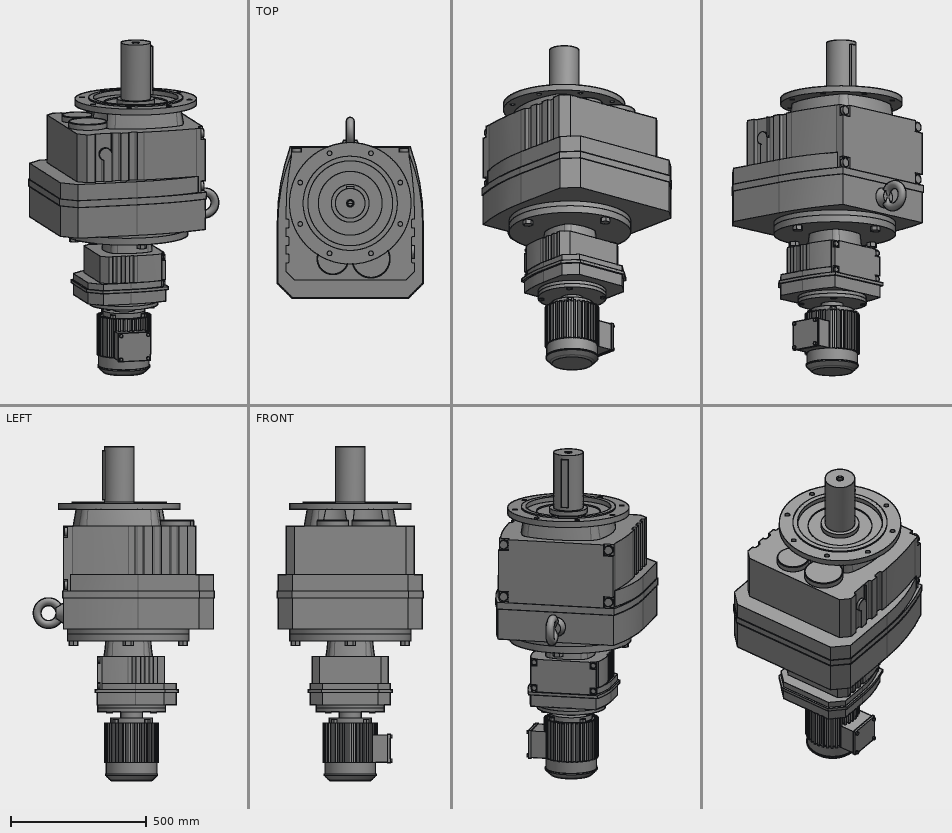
import cadquery as cq
import math

second_axis_y = -33.0
motor_axis_y = -46.0

cover_bottom_z = 0.0
fin_bottom_z = 69.0
fin_top_z = 215.0
motor_shield_top_z = 234.0
motor_flange_bottom_z = 256.0
motor_flange_top_z = 270.0
second_box_bottom_z = 282.0
second_rim_bottom_z = 327.0
second_rim_top_z = 338.0
second_box_top_z = 361.0
second_case_top_z = 461.0
second_flange_bottom_z = 517.0
second_flange_top_z = 543.0
main_box_bottom_z = 562.0
main_rim_bottom_z = 677.0
main_rim_top_z = 703.0
main_box_top_z = 763.0
main_case_top_z = 943.0
main_flange_bottom_z = 1005.0
main_flange_top_z = 1027.0
spigot_top_z = 1032.0
shaft_top_z = 1237.0

flange_radius = 225.0


def disc(radius, bottom_z, top_z, axis_y=0.0, axis_x=0.0):
    """Round plate or cylinder standing along Z."""
    return (
        cq.Workplane("XY", origin=(axis_x, axis_y, bottom_z))
        .circle(radius)
        .extrude(top_z - bottom_z)
    )


def bar_box(x_range, y_range, z_range):
    """Rectangular block between pairs of limits."""
    size = [limits[1] - limits[0] for limits in (x_range, y_range, z_range)]
    corner = (x_range[0], y_range[0], z_range[0])
    return cq.Workplane("XY").box(*size, centered=False).translate(corner)


def turned(profile, axis_y):
    """Solid of revolution about a Z axis from (radius, z) points."""
    return (
        cq.Workplane("XZ", origin=(0, axis_y, 0))
        .polyline(profile)
        .close()
        .revolve(360, (0, 0, 0), (0, 1, 0))
    )


def around(body, axis_y, angles):
    """Copies of a body drawn at angle 0, turned about a Z axis to each angle."""
    return [body.rotate((0, axis_y, 0), (0, axis_y, 1), angle) for angle in angles]


def hex_head(across_flats, distance, axis_y, bottom_z, top_z):
    """Hexagonal bolt head at +X from the axis, with two flats square to the radius."""
    across_corners = across_flats / math.cos(math.pi / 6)
    return (
        cq.Workplane("XY", origin=(distance, axis_y, bottom_z))
        .transformed(rotate=(0, 0, 90))
        .polygon(6, across_corners)
        .extrude(top_z - bottom_z)
    )


def casing(half_width, back_half_width, back_y, bend_y, front_y, chamfer, bottom_z, top_z, grow=0.0):
    """Casing block: straight sides that curve inwards to the back and chamfered front corners."""
    side_x = half_width + grow
    back_x = back_half_width + grow
    back = back_y + grow
    front = front_y - grow
    corner = chamfer + grow * (2 - math.sqrt(2))
    taper = side_x - back_x
    rise = back - bend_y
    arc_radius = (taper**2 + rise**2) / (2 * taper)
    half_sweep = math.asin(rise / arc_radius) / 2
    middle_x = side_x - arc_radius * (1 - math.cos(half_sweep))
    middle_y = bend_y + arc_radius * math.sin(half_sweep)
    return (
        cq.Workplane("XY", origin=(0, 0, bottom_z))
        .moveTo(-side_x + corner, front)
        .lineTo(side_x - corner, front)
        .lineTo(side_x, front + corner)
        .lineTo(side_x, bend_y)
        .threePointArc((middle_x, middle_y), (back_x, back))
        .lineTo(-back_x, back)
        .threePointArc((-middle_x, middle_y), (-side_x, bend_y))
        .lineTo(-side_x, front + corner)
        .close()
        .extrude(top_z - bottom_z)
    )


def side_grooves(half_width, depth, width, first_y, pitch, corner_radius, bottom_z, top_z):
    """Three upright grooves in each side of a case, with rounded inner corners."""
    grooves = []
    for side in (-1, 1):
        for index in range(3):
            groove = (
                cq.Workplane("XY", origin=(side * half_width, first_y - index * pitch, bottom_z))
                .rect(2 * depth, width)
                .extrude(top_z - bottom_z)
                .edges("|Z")
                .fillet(corner_radius)
            )
            grooves.append(groove)
    return grooves


def mounting_pad(half_width, front_y, back_y, bottom_z, top_z, pocket, boss_radius):
    """Plate on the back of a case whose four corners are recessed around a short round boss."""
    pocket_width, pocket_depth, pocket_height = pocket
    floor_y = back_y - pocket_depth
    pad = bar_box((-half_width, half_width), (front_y, back_y), (bottom_z, top_z))
    corner = cq.Workplane("XY").box(2 * pocket_width, 2 * pocket_depth, 2 * pocket_height)
    boss_x = half_width - pocket_width / 2
    for side in (-1, 1):
        for edge_z, inward in ((bottom_z, 1), (top_z, -1)):
            pad = pad.cut(corner.translate((side * half_width, back_y, edge_z)))
            boss = (
                cq.Workplane("XZ", origin=(side * boss_x, floor_y, edge_z + inward * pocket_height / 2))
                .circle(boss_radius)
                .extrude(-0.8 * pocket_depth)
            )
            pad = pad.union(boss)
    return pad


def cut_all(body, tools):
    for tool in tools:
        body = body.cut(tool)
    return body


def join_all(body, pieces):
    for piece in pieces:
        body = body.union(piece)
    return body


def hub(axis_y, side_reach, corner_far, corner_near, slope, bottom_z, top_z):
    """Tapered neck: a square with bulging sides and rounded corners, drawn in by a slope angle."""
    return (
        cq.Workplane("XY", origin=(0, axis_y, bottom_z))
        .moveTo(corner_far, -corner_near)
        .threePointArc((side_reach, 0), (corner_far, corner_near))
        .tangentArcPoint((corner_near, corner_far), relative=False)
        .threePointArc((0, side_reach), (-corner_near, corner_far))
        .tangentArcPoint((-corner_far, corner_near), relative=False)
        .threePointArc((-side_reach, 0), (-corner_far, -corner_near))
        .tangentArcPoint((-corner_near, -corner_far), relative=False)
        .threePointArc((0, -side_reach), (corner_near, -corner_far))
        .tangentArcPoint((corner_far, -corner_near), relative=False)
        .close()
        .extrude(top_z - bottom_z, taper=slope)
    )


def main_casing():
    box_shape = dict(
        half_width=267.0, back_half_width=219.0, back_y=207.0, bend_y=-69.0, front_y=-349.0, chamfer=53.0
    )
    case_shape = dict(
        half_width=238.0, back_half_width=216.0, back_y=179.0, bend_y=-33.0, front_y=-283.0, chamfer=31.0
    )
    rim_overhang = 3.1
    box = casing(**box_shape, bottom_z=main_box_bottom_z, top_z=main_rim_bottom_z)
    rim = casing(**box_shape, bottom_z=main_rim_bottom_z, top_z=main_rim_top_z, grow=rim_overhang)
    upper_shape = dict(box_shape, back_y=case_shape["back_y"])
    upper_box = casing(**upper_shape, bottom_z=main_rim_top_z, top_z=main_box_top_z)
    case = casing(**case_shape, bottom_z=main_box_top_z, top_z=main_case_top_z)
    groove_depth = 11.0
    grooves = side_grooves(
        case_shape["half_width"], groove_depth, 33.0, -75.0, 64.0, 6.0, main_box_top_z, main_case_top_z
    )
    case = cut_all(case, grooves)
    pad = mounting_pad(
        half_width=218.0,
        front_y=case_shape["back_y"] - 12,
        back_y=box_shape["back_y"],
        bottom_z=main_rim_top_z,
        top_z=main_case_top_z,
        pocket=(37.0, 16.0, 42.0),
        boss_radius=16.0,
    )
    body = join_all(box, (rim, upper_box, case, pad))
    return add_oil_plug(body, case_shape["half_width"], groove_depth)


def add_oil_plug(body, half_width, depth):
    """Round plug on the +X side of the case, in a seat that is open upwards."""
    plug_radius = 24.0
    plug_y = -180.0
    plug_z = 866.0
    seat_x = half_width - depth
    seat = bar_box((seat_x, half_width), (plug_y - plug_radius, plug_y + plug_radius),
                   (plug_z, main_case_top_z))
    plug = cq.Workplane("YZ", origin=(seat_x, plug_y, plug_z)).circle(plug_radius).extrude(depth)
    return body.cut(seat).union(plug)


cover_y = -205.0
left_cover_x = -64.0
left_cover_radius = 58.8
right_cover_x = 77.0
right_cover_radius = 71.1


def bearing_covers():
    cover_top_z = 965.0
    edge_chamfer = 2.0
    left = disc(left_cover_radius, main_case_top_z, cover_top_z, cover_y, left_cover_x)
    right = disc(right_cover_radius, main_case_top_z, cover_top_z, cover_y, right_cover_x)
    return left.faces(">Z").chamfer(edge_chamfer).union(right.faces(">Z").chamfer(edge_chamfer))


def main_hub():
    clearance = 5.6
    neck = hub(0, 171.0, 148.0, 120.0, 10, main_case_top_z, main_flange_bottom_z)
    left = disc(left_cover_radius + clearance, main_case_top_z, main_flange_bottom_z, cover_y, left_cover_x)
    right = disc(right_cover_radius + clearance, main_case_top_z, main_flange_bottom_z, cover_y, right_cover_x)
    return neck.cut(left).cut(right)


def main_flange():
    spigot_radius = 175.0
    recess_radius = 157.0
    inner_recess_radius = 118.1
    flange = disc(flange_radius, main_flange_bottom_z, main_flange_top_z)
    flange = flange.union(disc(spigot_radius, main_flange_top_z, spigot_top_z))
    hole = disc(9.0, main_flange_bottom_z, main_flange_top_z, 0, 200.0)
    holes = around(hole, 0, [22.5 + 45 * index for index in range(8)])
    flange = cut_all(flange, holes)
    flange = flange.cut(disc(recess_radius, spigot_top_z - 17.0, spigot_top_z))
    return flange.cut(disc(inner_recess_radius, spigot_top_z - 22.0, spigot_top_z))


def output_shaft():
    shaft_radius = 55.0
    collar_radius = 69.9
    shaft = disc(shaft_radius, main_flange_bottom_z, shaft_top_z)
    collar = disc(collar_radius, main_flange_bottom_z, main_flange_top_z)
    key = bar_box((-14.0, 14.0), (0, 62.0), (1040.0, 1222.0))
    shaft = shaft.faces(">Z").workplane().cskHole(20.0, 27.0, 90, depth=50)
    return shaft.union(collar).union(key)


def lifting_eye():
    ring_z = 621.0
    ring_y = 261.6
    ring = cq.Workplane("YZ").add(
        cq.Solid.makeTorus(42.0, 15.0, cq.Vector(0, ring_y, ring_z), cq.Vector(1, 0, 0))
    )
    neck = cq.Workplane("XY").add(
        cq.Solid.makeCone(37.0, 25.0, 27.0, cq.Vector(0, 207.0, ring_z), cq.Vector(0, 1, 0))
    )
    return neck.union(ring)


def build_main_gear_unit():
    adapter = disc(flange_radius, second_flange_top_z, main_box_bottom_z, second_axis_y)
    pieces = (adapter, bearing_covers(), main_hub(), main_flange(), output_shaft(), lifting_eye())
    return join_all(main_casing(), pieces)


def second_casing():
    box_shape = dict(
        half_width=148.0, back_half_width=124.0, back_y=82.0, bend_y=-59.0, front_y=-212.0, chamfer=46.0
    )
    case_shape = dict(
        half_width=141.0, back_half_width=129.0, back_y=64.0, bend_y=-32.0, front_y=-168.0, chamfer=27.0
    )
    rim_overhang = 7.0
    box = casing(**box_shape, bottom_z=second_box_bottom_z, top_z=second_rim_bottom_z)
    rim = casing(**box_shape, bottom_z=second_rim_bottom_z, top_z=second_rim_top_z, grow=rim_overhang)
    upper_shape = dict(box_shape, back_y=case_shape["back_y"])
    upper_box = casing(**upper_shape, bottom_z=second_rim_top_z, top_z=second_box_top_z)
    case = casing(**case_shape, bottom_z=second_box_top_z, top_z=second_case_top_z)
    grooves = side_grooves(
        case_shape["half_width"], 6.0, 16.0, -55.0, 32.0, 4.0, second_box_top_z, second_case_top_z
    )
    case = cut_all(case, grooves)
    pad = mounting_pad(
        half_width=124.0,
        front_y=case_shape["back_y"] - 12,
        back_y=80.0,
        bottom_z=second_rim_top_z,
        top_z=second_case_top_z,
        pocket=(22.0, 9.0, 26.0),
        boss_radius=10.0,
    )
    return join_all(box, (rim, upper_box, case, pad))


def build_second_gear_unit():
    flange = disc(flange_radius, second_flange_bottom_z, second_flange_top_z, second_axis_y)
    head = hex_head(32.0, 203.0, second_axis_y, second_flange_bottom_z - 16.0, second_flange_bottom_z)
    heads = around(head, second_axis_y, (0, 90, 180, 270))
    neck = hub(second_axis_y, 90.0, 79.0, 59.0, 6.5, second_case_top_z, second_flange_bottom_z)
    adapter = disc(126.0, motor_flange_top_z, second_box_bottom_z, motor_axis_y)
    return join_all(second_casing(), [adapter, neck, flange, *heads])


def finned_frame():
    fin_count = 36
    frame = disc(100.0, fin_bottom_z, fin_top_z, motor_axis_y)
    gap = bar_box((87.0, 111), (motor_axis_y - 5.0, motor_axis_y + 5.0), (fin_bottom_z, fin_top_z))
    return cut_all(frame, around(gap, motor_axis_y, [index * 360 / fin_count for index in range(fin_count)]))


def terminal_box():
    box_inner_x = 78.0
    box_outer_x = 139.0
    lid_outer_x = 148.0
    half_width = 58.0
    top_z = 171.0
    lip = 2.0
    screw_radius = 6.0
    screw_height = 6.0
    box = bar_box(
        (box_inner_x, box_outer_x),
        (motor_axis_y - half_width, motor_axis_y + half_width),
        (fin_bottom_z, top_z),
    )
    lid = bar_box(
        (box_outer_x, lid_outer_x),
        (motor_axis_y - half_width - lip, motor_axis_y + half_width + lip),
        (fin_bottom_z - lip, top_z + lip),
    )
    screws = (
        cq.Workplane("YZ", origin=(lid_outer_x, motor_axis_y, (fin_bottom_z + top_z) / 2))
        .rect(2 * (half_width - screw_radius), top_z - fin_bottom_z - 2 * screw_radius, forConstruction=True)
        .vertices()
        .circle(screw_radius)
        .extrude(screw_height)
    )
    return box.union(lid).union(screws)


def build_motor():
    flange = disc(126.0, motor_flange_bottom_z, motor_flange_top_z, motor_axis_y)
    flange_head = hex_head(20.0, 115.0, motor_axis_y, motor_flange_bottom_z - 4.0, motor_flange_bottom_z)
    shield_head = hex_head(20.0, 82.0, motor_axis_y, fin_top_z, fin_top_z + 12)
    neck = disc(41.0, motor_shield_top_z, motor_flange_bottom_z, motor_axis_y)
    shield = disc(78.0, fin_top_z, motor_shield_top_z, motor_axis_y)
    cover = turned(
        [(0, 0), (74.0, 0), (82.0, 6.0), (96.0, 21.0), (96.0, 26.0), (94.0, 26.0), (94.0, fin_bottom_z), (0, fin_bottom_z)],
        motor_axis_y,
    )
    diagonals = (45, 135, 225, 315)
    heads = around(flange_head, motor_axis_y, diagonals) + around(shield_head, motor_axis_y, diagonals)
    return join_all(finned_frame(), [terminal_box(), cover, shield, neck, flange, *heads])


main_gear_unit = build_main_gear_unit()
second_gear_unit = build_second_gear_unit()
motor = build_motor()

result = cq.Compound.makeCompound([main_gear_unit.val(), second_gear_unit.val(), motor.val()])